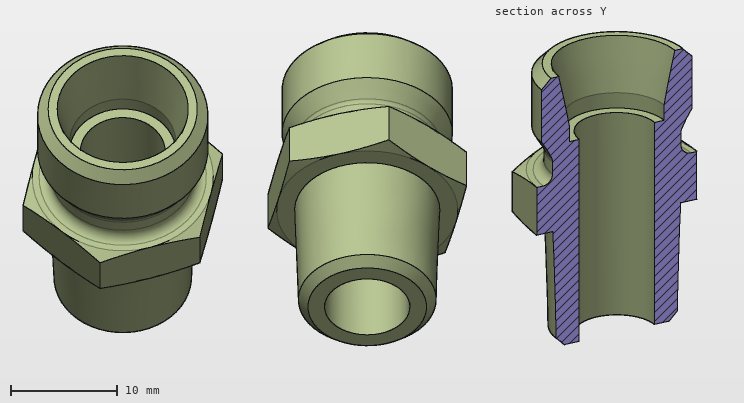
import cadquery as cq
import math

TOTAL_LENGTH = 28.0
HEX_BOTTOM = 12.0
HEX_TOP = 17.0

HEX_ACROSS_FLATS = 17.0
HEX_SIDES = 6
HEX_CHAMFER_ANGLE = 18.0
CORNER_CLEARANCE = 1.0

PIPE_END_DIAMETER = 12.94
PIPE_TAPER = 1 / 16
PIPE_CHAMFER = 0.9

TUBE_END_DIAMETER = 16.0
TUBE_END_CHAMFER = 1.0
TUBE_END_BOTTOM = 21.55
NECK_DIAMETER = 13.7
NECK_CONE_ANGLE = 30.0
NECK_FILLET = 1.0

BORE_DIAMETER = 8.0
SOCKET_DIAMETER = 10.0
SOCKET_DEPTH = 7.0
SEAT_DIAMETER = 12.3
SEAT_HALF_ANGLE = 12.0


def tangent(degrees):
    return math.tan(math.radians(degrees))


def revolve_about_z(half_profile):
    """Full turn of a closed half profile, drawn as (radius, height), about Z."""
    return half_profile.revolve(360, (0, 0, 0), (0, 1, 0))


def make_hexagon():
    """Hexagon with corners on the Y axis, both ends chamfered by a cone."""
    inner_radius = HEX_ACROSS_FLATS / 2
    corner_radius = inner_radius / math.cos(math.pi / HEX_SIDES)
    height = HEX_TOP - HEX_BOTTOM
    prism = (
        cq.Workplane("XY", origin=(0, 0, HEX_BOTTOM))
        .polygon(HEX_SIDES, 2 * corner_radius)
        .extrude(height)
        .rotate((0, 0, 0), (0, 0, 1), 180 / HEX_SIDES)
    )
    envelope_radius = corner_radius + CORNER_CLEARANCE
    drop = (envelope_radius - inner_radius) * tangent(HEX_CHAMFER_ANGLE)
    half_profile = (
        cq.Workplane("YZ")
        .moveTo(0, HEX_BOTTOM)
        .lineTo(inner_radius, HEX_BOTTOM)
        .lineTo(envelope_radius, HEX_BOTTOM + drop)
        .lineTo(envelope_radius, HEX_TOP - drop)
        .lineTo(inner_radius, HEX_TOP)
        .lineTo(0, HEX_TOP)
        .close()
    )
    return prism.intersect(revolve_about_z(half_profile))


def make_pipe_end():
    """Tapered end, widening upwards, with a chamfered rim."""
    end_radius = PIPE_END_DIAMETER / 2
    root_radius = end_radius + (HEX_BOTTOM - PIPE_CHAMFER) * PIPE_TAPER / 2
    half_profile = (
        cq.Workplane("YZ")
        .moveTo(0, 0)
        .lineTo(end_radius - PIPE_CHAMFER, 0)
        .lineTo(end_radius, PIPE_CHAMFER)
        .lineTo(root_radius, HEX_BOTTOM)
        .lineTo(0, HEX_BOTTOM)
        .close()
    )
    return revolve_about_z(half_profile)


def make_tube_end():
    """Cylindrical end on a neck, with rounded transitions at both ends of the neck."""
    end_radius = TUBE_END_DIAMETER / 2
    neck_radius = NECK_DIAMETER / 2
    cone_angle = math.radians(NECK_CONE_ANGLE)
    cone_bottom = TUBE_END_BOTTOM - (end_radius - neck_radius) / math.tan(cone_angle)

    upper_center_z = cone_bottom - NECK_FILLET * math.tan(cone_angle / 2)

    def upper_fillet_point(angle):
        radius = neck_radius + NECK_FILLET * (1 - math.cos(angle))
        return (radius, upper_center_z + NECK_FILLET * math.sin(angle))

    fillet_diagonal = NECK_FILLET * (1 - math.sqrt(0.5))
    lower_fillet_middle = (neck_radius + fillet_diagonal, HEX_TOP + fillet_diagonal)

    half_profile = (
        cq.Workplane("YZ")
        .moveTo(0, HEX_TOP)
        .lineTo(neck_radius + NECK_FILLET, HEX_TOP)
        .threePointArc(lower_fillet_middle, (neck_radius, HEX_TOP + NECK_FILLET))
        .lineTo(neck_radius, upper_center_z)
        .threePointArc(upper_fillet_point(cone_angle / 2), upper_fillet_point(cone_angle))
        .lineTo(end_radius, TUBE_END_BOTTOM)
        .lineTo(end_radius, TOTAL_LENGTH - TUBE_END_CHAMFER)
        .lineTo(end_radius - TUBE_END_CHAMFER, TOTAL_LENGTH)
        .lineTo(0, TOTAL_LENGTH)
        .close()
    )
    return revolve_about_z(half_profile)


def make_bore():
    """Through bore, tube socket and conical seat, as one solid to remove."""
    bore_radius = BORE_DIAMETER / 2
    socket_radius = SOCKET_DIAMETER / 2
    seat_radius = SEAT_DIAMETER / 2
    seat_depth = (seat_radius - socket_radius) / tangent(SEAT_HALF_ANGLE)
    half_profile = (
        cq.Workplane("YZ")
        .moveTo(0, 0)
        .lineTo(bore_radius, 0)
        .lineTo(bore_radius, TOTAL_LENGTH - SOCKET_DEPTH)
        .lineTo(socket_radius, TOTAL_LENGTH - SOCKET_DEPTH)
        .lineTo(socket_radius, TOTAL_LENGTH - seat_depth)
        .lineTo(seat_radius, TOTAL_LENGTH)
        .lineTo(0, TOTAL_LENGTH)
        .close()
    )
    return revolve_about_z(half_profile)


body = make_hexagon().union(make_pipe_end()).union(make_tube_end())
result = body.cut(make_bore())